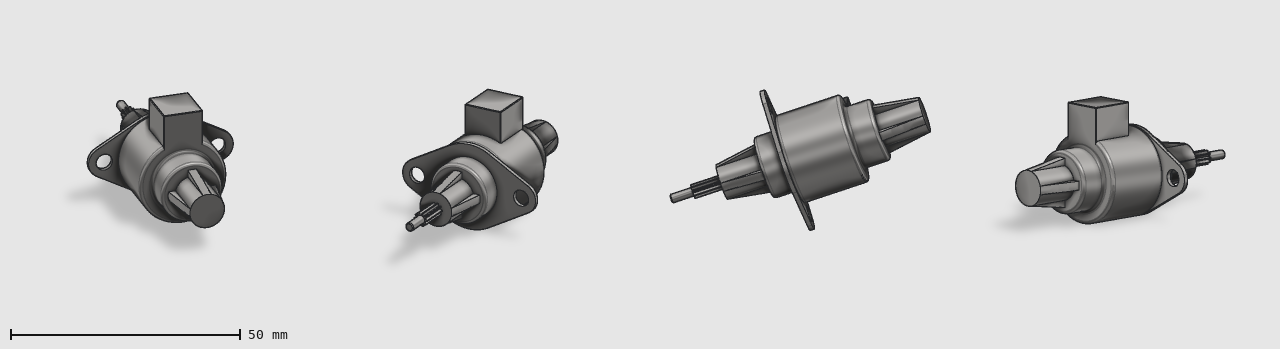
import cadquery as cq
import math

PINION_START = 5.0
NOSE_FRONT = 11.7
FRONT_BOSS_FACE = 21.4
FLANGE_FRONT = 26.3
FLANGE_THICKNESS = 1.0
BODY_END = 42.3
REAR_BOSS_FACE = 48.35
TOTAL_LENGTH = 58.45
FLANGE_BACK = FLANGE_FRONT + FLANGE_THICKNESS

SHAFT_RADIUS = 1.0
NOSE_RADIUS = 4.0
BOSS_RADIUS = 7.0
BODY_RADIUS = 10.0

SHAFT_CHAMFER = 0.25
HOUSING_FILLET = 0.7

TOOTH_COUNT = 10
PINION_ROOT_RADIUS = 1.05
PINION_TIP_RADIUS = 1.65
TOOTH_TIP_WIDTH = 0.25

RIB_COUNT = 4
RIB_WIDTH = 2.0
RIB_BASE_RADIUS = 5.55

FLANGE_WIDTH = 33.3
EAR_RADIUS = 3.6
EAR_HOLE_RADIUS = 1.85
EAR_OFFSET = FLANGE_WIDTH / 2 - EAR_RADIUS

BOX_LENGTH = 10.0
BOX_WIDTH = 9.0
BOX_TOP = 16.35
BOX_CHAMFER = 0.2


def section_plane(x):
    """Plane across the shaft axis: local x is +Y, local y is +Z, extrusion runs along +X."""
    return cq.Workplane("YZ", origin=(x, 0, 0))


def cylinder(radius, start, end):
    return section_plane(start).circle(radius).extrude(end - start)


def make_body():
    """Main housing with its rear boss, rounded at every circular edge and at the boss root."""
    body = cylinder(BODY_RADIUS, FLANGE_BACK, BODY_END)
    boss = cylinder(BOSS_RADIUS, FLANGE_BACK, REAR_BOSS_FACE)
    return body.union(boss).edges("%CIRCLE").fillet(HOUSING_FILLET)


def make_front_boss():
    return cylinder(BOSS_RADIUS, FRONT_BOSS_FACE, FLANGE_BACK).faces("<X").edges().fillet(HOUSING_FILLET)


def make_flange():
    """Diamond flange: a central disc joined to two drilled ears by tangent edges."""
    tangent_sine = (BODY_RADIUS - EAR_RADIUS) / EAR_OFFSET
    tangent_cosine = math.sqrt(1 - tangent_sine**2)
    disc_y = BODY_RADIUS * tangent_sine
    disc_z = BODY_RADIUS * tangent_cosine
    ear_y = EAR_OFFSET + EAR_RADIUS * tangent_sine
    ear_z = EAR_RADIUS * tangent_cosine
    flange = (
        section_plane(FLANGE_FRONT)
        .moveTo(disc_y, disc_z)
        .lineTo(ear_y, ear_z)
        .threePointArc((FLANGE_WIDTH / 2, 0), (ear_y, -ear_z))
        .lineTo(disc_y, -disc_z)
        .threePointArc((0, -BODY_RADIUS), (-disc_y, -disc_z))
        .lineTo(-ear_y, -ear_z)
        .threePointArc((-FLANGE_WIDTH / 2, 0), (-ear_y, ear_z))
        .lineTo(-disc_y, disc_z)
        .threePointArc((0, BODY_RADIUS), (disc_y, disc_z))
        .close()
        .extrude(FLANGE_THICKNESS)
    )
    holes = (
        section_plane(FLANGE_FRONT)
        .pushPoints([(-EAR_OFFSET, 0), (EAR_OFFSET, 0)])
        .circle(EAR_HOLE_RADIUS)
        .extrude(FLANGE_THICKNESS)
    )
    return flange.cut(holes)


def make_nose(boss_face, tip):
    """Cylindrical nose with ribs that taper from the boss face down to the tip."""
    start = min(boss_face, tip)
    length = abs(tip - boss_face)
    cone = (
        cq.Workplane("XZ")
        .polyline([(boss_face, 0), (boss_face, RIB_BASE_RADIUS), (tip, NOSE_RADIUS), (tip, 0)])
        .close()
        .revolve(360, (0, 0, 0), (1, 0, 0))
    )
    rib_bar = section_plane(start).rect(RIB_WIDTH, 2 * RIB_BASE_RADIUS).extrude(length)
    nose = cylinder(NOSE_RADIUS, start, start + length)
    for index in range(RIB_COUNT // 2):
        bar = rib_bar.rotate((0, 0, 0), (1, 0, 0), index * 360 / RIB_COUNT)
        nose = nose.union(cone.intersect(bar))
    return nose


def make_shaft():
    return cylinder(SHAFT_RADIUS, 0, NOSE_FRONT).faces("<X").chamfer(SHAFT_CHAMFER)


def make_pinion():
    """Straight-flanked pinion with one tooth pointing along +Y."""
    pitch = 2 * math.pi / TOOTH_COUNT
    half_tip = math.asin(TOOTH_TIP_WIDTH / 2 / PINION_TIP_RADIUS)
    outline = []
    for index in range(TOOTH_COUNT):
        centre = index * pitch
        for radius, angle in (
            (PINION_TIP_RADIUS, centre - half_tip),
            (PINION_TIP_RADIUS, centre + half_tip),
            (PINION_ROOT_RADIUS, centre + pitch / 2),
        ):
            outline.append((radius * math.cos(angle), radius * math.sin(angle)))
    return section_plane(PINION_START).polyline(outline).close().extrude(NOSE_FRONT - PINION_START)


def make_connector_box():
    """Box sunk into the body down to the boss radius, flush with the body's rear face."""
    return (
        cq.Workplane("XY", origin=(BODY_END - BOX_LENGTH / 2, 0, BOSS_RADIUS))
        .rect(BOX_LENGTH, BOX_WIDTH)
        .extrude(BOX_TOP - BOSS_RADIUS)
        .edges("|Z or >Z")
        .chamfer(BOX_CHAMFER)
    )


result = (
    make_body()
    .union(make_flange())
    .union(make_front_boss())
    .union(make_nose(FRONT_BOSS_FACE, NOSE_FRONT))
    .union(make_nose(REAR_BOSS_FACE, TOTAL_LENGTH))
    .union(make_shaft())
    .union(make_pinion())
    .union(make_connector_box())
)